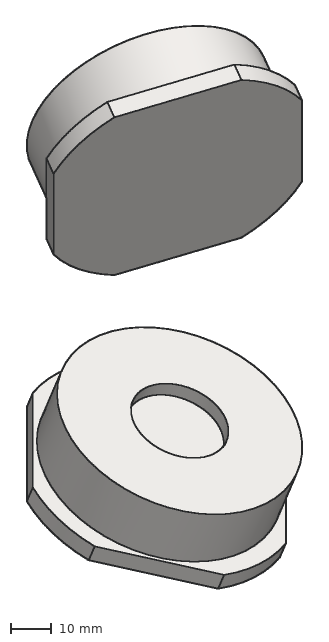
import cadquery as cq

total_length = 22.0
flange_thickness = 5.0
flange_across_flats = 65.0
flange_diameter = 73.0
body_diameter = 63.0
recess_diameter = 25.0
recess_depth = 4.0

body_length = total_length - flange_thickness


def disc(diameter, start_x, length):
    """Solid cylinder along +X, starting at start_x."""
    return cq.Workplane("YZ", origin=(start_x, 0, 0)).circle(diameter / 2).extrude(length)


flats = (
    cq.Workplane("YZ", origin=(body_length, 0, 0))
    .rect(flange_across_flats, flange_across_flats)
    .extrude(flange_thickness)
)
flange = disc(flange_diameter, body_length, flange_thickness).intersect(flats)

body = disc(body_diameter, 0, body_length)
recess = disc(recess_diameter, 0, recess_depth)

result = body.union(flange).cut(recess)